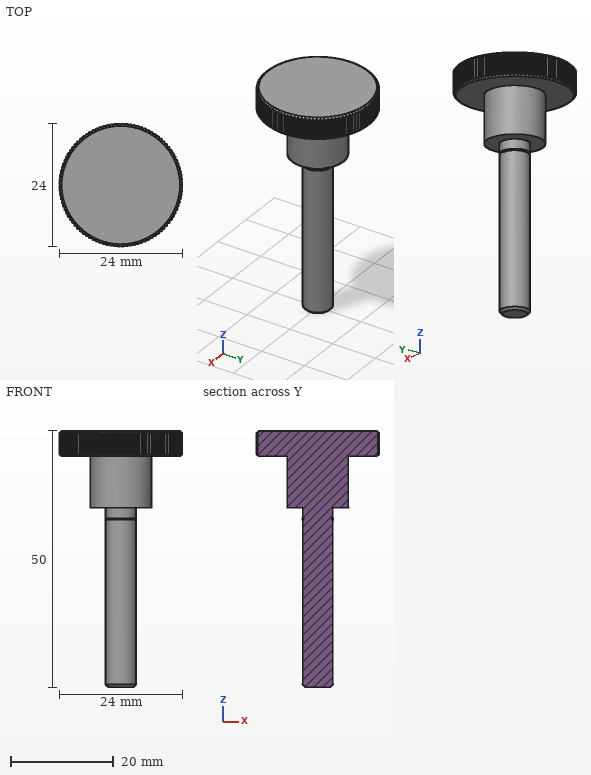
import cadquery as cq
import math

total_height = 50.0

head_diameter = 24.0
head_height = 5.0
head_chamfer = 0.48

knurl_count = 100
knurl_depth = 0.24
knurl_angle = 90.0

boss_diameter = 12.0
boss_height = 10.0

shank_diameter = 6.0
tip_chamfer = 0.54

neck_length = 2.0
ring_groove_width = 0.3
ring_groove_depth = 0.25

head_bottom = total_height - head_height
shank_length = head_bottom - boss_height
ring_groove_top = shank_length - neck_length
ring_groove_bottom = ring_groove_top - ring_groove_width


def polar(distance, angle):
    """XY point at a distance from the axis and an angle from +X in radians."""
    return (distance * math.cos(angle), distance * math.sin(angle))


def make_knurl_prism():
    """Prism whose outline is a circle notched by V-grooves, one of them on the +X axis."""
    radius = head_diameter / 2
    root_radius = radius - knurl_depth
    pitch = 2 * math.pi / knurl_count
    half_opening = knurl_depth * math.tan(math.radians(knurl_angle / 2)) / radius

    outline = cq.Workplane("XY").workplane(offset=head_bottom).moveTo(root_radius, 0)
    for groove in range(knurl_count):
        root = groove * pitch
        next_root = root + pitch
        land_start = polar(radius, root + half_opening)
        land_middle = polar(radius, root + pitch / 2)
        land_end = polar(radius, next_root - half_opening)
        outline = outline.lineTo(*land_start).threePointArc(land_middle, land_end)
        if groove < knurl_count - 1:
            outline = outline.lineTo(*polar(root_radius, next_root))
    return outline.close().extrude(head_height)


def make_head():
    """Head disc with chamfered rims and a V-grooved edge."""
    disc = (
        cq.Workplane("XY")
        .workplane(offset=head_bottom)
        .circle(head_diameter / 2)
        .extrude(head_height)
        .faces("<Z or >Z")
        .chamfer(head_chamfer)
    )
    return disc.intersect(make_knurl_prism())


def make_boss():
    """Collar between the shank and the head."""
    return (
        cq.Workplane("XY")
        .workplane(offset=shank_length)
        .circle(boss_diameter / 2)
        .extrude(boss_height)
    )


def make_shank():
    """Shank with a chamfered tip."""
    return (
        cq.Workplane("XY")
        .circle(shank_diameter / 2)
        .extrude(shank_length)
        .faces("<Z")
        .chamfer(tip_chamfer)
    )


def make_ring_groove():
    """Ring to be removed from the shank."""
    return (
        cq.Workplane("XY")
        .workplane(offset=ring_groove_bottom)
        .circle(shank_diameter / 2)
        .circle(shank_diameter / 2 - ring_groove_depth)
        .extrude(ring_groove_width)
    )


shank = make_shank().cut(make_ring_groove())
result = make_head().union(make_boss()).union(shank)